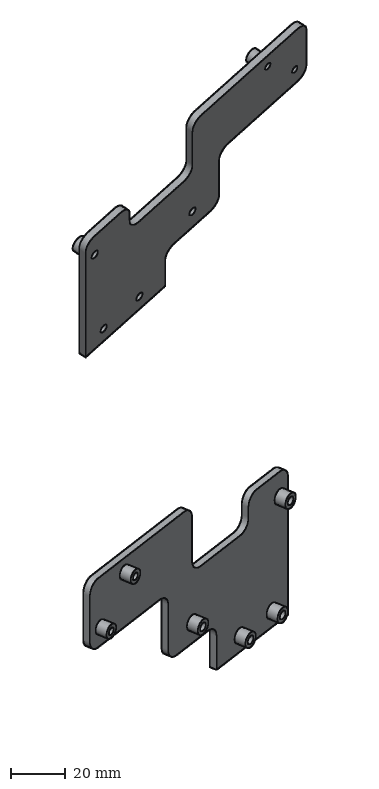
import cadquery as cq

length = 123.0
height = 81.0
plate_thickness = 3.1
boss_height = 4.9
corner_radius = 5.0

foot_width = 44.4
foot_height = 20.2
middle_width = 74.4
arm_bottom = 50.4

arm_inner_side = 59.5
notch_floor = 51.4
tab_width = 24.6
tab_top = 66.2

large_boss_diameter = 6.5
large_hole_diameter = 3.5
large_boss_centers = [(10.1, 7.4), (30.0, 7.4), (59.5, 29.4), (5.2, 55.2)]
small_boss_diameter = 6.0
small_hole_diameter = 3.0
small_boss_centers = [(116.5, 58.8), (101.5, 74.8)]


def make_plate():
    """Extrude the stepped outline and round all but the corners of the foot."""
    outline = [
        (0, 0),
        (foot_width, 0),
        (foot_width, foot_height),
        (middle_width, foot_height),
        (middle_width, arm_bottom),
        (length, arm_bottom),
        (length, height),
        (arm_inner_side, height),
        (arm_inner_side, notch_floor),
        (tab_width, notch_floor),
        (tab_width, tab_top),
        (0, tab_top),
    ]
    plate = cq.Workplane("YZ").polyline(outline).close().extrude(plate_thickness)
    return plate.edges("|X").edges("not <Z").fillet(corner_radius)


def add_bosses(body, centers, boss_diameter, hole_diameter):
    """Add tubular bosses whose holes run right through the plate."""
    bosses = (
        cq.Workplane("YZ")
        .pushPoints(centers)
        .circle(boss_diameter / 2)
        .extrude(-boss_height)
    )
    holes = (
        cq.Workplane("YZ", origin=(-boss_height, 0, 0))
        .pushPoints(centers)
        .circle(hole_diameter / 2)
        .extrude(boss_height + plate_thickness)
    )
    return body.union(bosses).cut(holes)


result = make_plate()
result = add_bosses(result, large_boss_centers, large_boss_diameter, large_hole_diameter)
result = add_bosses(result, small_boss_centers, small_boss_diameter, small_hole_diameter)